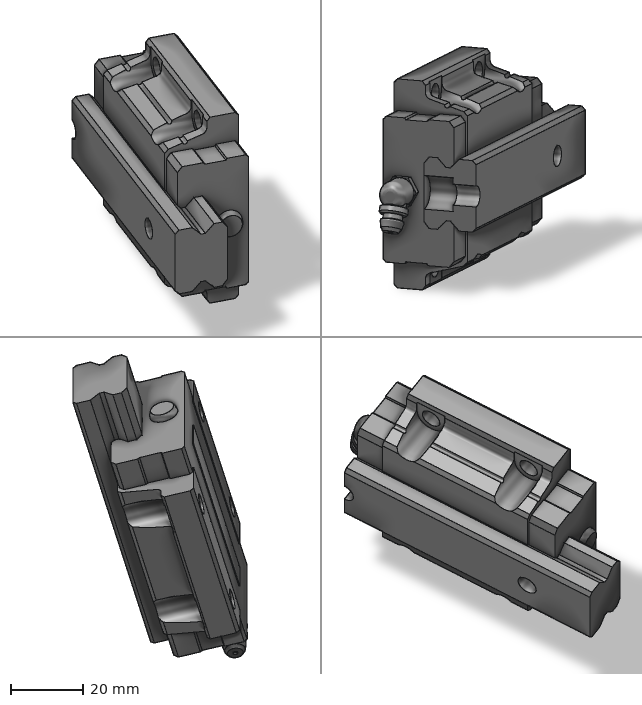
import cadquery as cq
import math


RAIL_LENGTH = 80.6
RAIL_HEIGHT = 15.5
RAIL_HALF_WIDTH = 10.1
RAIL_FOOT_CHAMFER = 1.1
RAIL_HEAD_CHAMFER_Y = 1.6
RAIL_HEAD_CHAMFER_Z = 1.9
WAIST_HALF_WIDTH = 7.5
WAIST_START_Y = 5.1
WAIST_FLOOR_START_Y = 7.6
WAIST_FLOOR_END_Y = 8.9
WAIST_END_Y = 11.5
RAIL_HOLE_PITCH = 60.0
RAIL_HOLE_DIA = 5.9
RAIL_COUNTERBORE_DIA = 9.5
RAIL_COUNTERBORE_FLOOR_Y = 6.9

CAP_LENGTH = 8.55
BLOCK_LENGTH = 47.7
BLOCK_TOP_Y = 28.0
BLOCK_BOTTOM_Y = 6.1
BLOCK_BOTTOM_HALF_WIDTH = 20.7
SKIRT_CHAMFER = 1.1
FLANGE_HALF_WIDTH = 29.5
FLANGE_UNDERSIDE_Y = 18.6
FLANGE_TOP_CHAMFER = 1.0
FLANGE_LOWER_CHAMFER_Y = 0.9
FLANGE_LOWER_CHAMFER_Z = 1.2
FLANGE_ROOT_HALF_WIDTH = 24.9
FLANGE_ROOT_FILLET = 1.9
TOP_RECESS_INNER_Z = 5.0
TOP_RECESS_OUTER_Z = 17.5
TOP_RECESS_DEPTH = 0.3
SIDE_GROOVE_DIA = 1.4
SIDE_GROOVE_Y = 12.1
SIDE_GROOVE_Z = 23.2

MOUNT_PITCH_X = 32.0
MOUNT_PITCH_Z = 48.9
MOUNT_HOLE_DIA = 5.7
MOUNT_POCKET_DIA = 9.1
MOUNT_POCKET_FLOOR_Y = 18.85

CAP_BOTTOM_Y = 6.6
CAP_TOP_Y = BLOCK_TOP_Y - TOP_RECESS_DEPTH
CAP_HALF_WIDTH = 20.6
CAP_TOP_CHAMFER = 0.8
CAP_LOWER_CHAMFER_Y = 1.4
CAP_LOWER_CHAMFER_Z = 1.7
CAP_GROOVE_TOP_Y = 21.2
CAP_GROOVE_FLOOR_TOP_Y = 21.0
CAP_GROOVE_FLOOR_BOTTOM_Y = 14.8
CAP_GROOVE_BOTTOM_Y = 14.25
CAP_GROOVE_DEPTH = 0.55

PORT_Y = 21.8
HEX_ACROSS_FLATS = 8.1
HEX_THICKNESS = 1.8
ELBOW_DIA = 8.0
ELBOW_LENGTH = 9.4
ELBOW_ROUNDING = 2.5
NIPPLE_AXIS_X = -5.0
NIPPLE_TILT = 22.5
STEM_DIA = 6.6
COLLAR_DIA = 8.0
COLLAR_FOOT_DIA = 7.0
NECK_DIA = 5.5
HEAD_SHOULDER_DIA = 5.8
HEAD_DIA = 6.6
HEAD_TAPER_DIA = 5.8
TIP_DIA = 4.4
COLLAR_START = 3.7
COLLAR_RIM_START = 4.0
COLLAR_RIM_END = 5.4
COLLAR_END = 6.0
HEAD_START = 7.4
HEAD_RIM_START = 7.6
HEAD_TAPER_START = 8.1
HEAD_TAPER_END = 9.8
NIPPLE_LENGTH = 10.85
GREASE_HOLE_DIA = 1.4
GREASE_HOLE_DEPTH = 0.55
PLUG_DIA = 8.0
PLUG_LENGTH = 1.9
PLUG_ROUNDING = 3.0

BLOCK_START_X = CAP_LENGTH
BLOCK_END_X = BLOCK_START_X + BLOCK_LENGTH
CARRIAGE_LENGTH = BLOCK_END_X + CAP_LENGTH
BLOCK_MID_X = CARRIAGE_LENGTH / 2


def symmetric_bar(half_outline, start_x, length):
    """Extrude along X a (Y, Z) outline given for Z > 0 and mirrored below."""
    mirrored = [(y, -z) for y, z in reversed(half_outline)]
    section = cq.Workplane("YZ", origin=(start_x, 0, 0)).polyline(half_outline + mirrored)
    return section.close().extrude(length)


def cylinder_y(x, z, diameter, start_y, end_y):
    """Cylinder parallel to Y."""
    axis = cq.Vector(0, 1, 0)
    return cq.Solid.makeCylinder(diameter / 2, end_y - start_y, cq.Vector(x, start_y, z), axis)


def make_rail_bar():
    """Rail profile without its bolt holes."""
    half_outline = [
        (0, RAIL_HALF_WIDTH - RAIL_FOOT_CHAMFER),
        (RAIL_FOOT_CHAMFER, RAIL_HALF_WIDTH),
        (WAIST_START_Y, RAIL_HALF_WIDTH),
        (WAIST_FLOOR_START_Y, WAIST_HALF_WIDTH),
        (WAIST_FLOOR_END_Y, WAIST_HALF_WIDTH),
        (WAIST_END_Y, RAIL_HALF_WIDTH),
        (RAIL_HEIGHT - RAIL_HEAD_CHAMFER_Y, RAIL_HALF_WIDTH),
        (RAIL_HEIGHT, RAIL_HALF_WIDTH - RAIL_HEAD_CHAMFER_Z),
    ]
    return symmetric_bar(half_outline, 0, RAIL_LENGTH)


def make_rail():
    """Rail with counterbored holes; the first is cut in half by the rail end."""
    rail = make_rail_bar()
    for x in (0, RAIL_HOLE_PITCH):
        rail = rail.cut(cylinder_y(x, 0, RAIL_HOLE_DIA, 0, RAIL_HEIGHT))
        rail = rail.cut(cylinder_y(x, 0, RAIL_COUNTERBORE_DIA, RAIL_COUNTERBORE_FLOOR_Y, RAIL_HEIGHT))
    return rail


def make_block_blank():
    """Flanged block: wide flange on top of a skirt that narrows downwards."""
    half_outline = [
        (BLOCK_BOTTOM_Y, BLOCK_BOTTOM_HALF_WIDTH),
        (BLOCK_BOTTOM_Y + SKIRT_CHAMFER, BLOCK_BOTTOM_HALF_WIDTH + SKIRT_CHAMFER),
        (FLANGE_UNDERSIDE_Y, FLANGE_ROOT_HALF_WIDTH),
        (FLANGE_UNDERSIDE_Y, FLANGE_HALF_WIDTH - FLANGE_LOWER_CHAMFER_Z),
        (FLANGE_UNDERSIDE_Y + FLANGE_LOWER_CHAMFER_Y, FLANGE_HALF_WIDTH),
        (BLOCK_TOP_Y - FLANGE_TOP_CHAMFER, FLANGE_HALF_WIDTH),
        (BLOCK_TOP_Y, FLANGE_HALF_WIDTH - FLANGE_TOP_CHAMFER),
    ]
    block = symmetric_bar(half_outline, BLOCK_START_X, BLOCK_LENGTH)
    for side in (1, -1):
        root = (BLOCK_MID_X, FLANGE_UNDERSIDE_Y, side * FLANGE_ROOT_HALF_WIDTH)
        root_edge = cq.selectors.NearestToPointSelector(root)
        block = block.edges("|X").edges(root_edge).fillet(FLANGE_ROOT_FILLET)
    return block


def cut_top_recesses(block):
    """Two shallow lengthwise recesses in the mounting face."""
    width = TOP_RECESS_OUTER_Z - TOP_RECESS_INNER_Z
    middle = (TOP_RECESS_OUTER_Z + TOP_RECESS_INNER_Z) / 2
    for side in (1, -1):
        recess = cq.Workplane(origin=(BLOCK_MID_X, BLOCK_TOP_Y, side * middle)).box(
            BLOCK_LENGTH, 2 * TOP_RECESS_DEPTH, width
        )
        block = block.cut(recess)
    return block


def cut_side_groove(block):
    """Round reference groove along one sloping side."""
    groove = cq.Workplane("YZ", origin=(BLOCK_START_X, SIDE_GROOVE_Y, SIDE_GROOVE_Z))
    return block.cut(groove.circle(SIDE_GROOVE_DIA / 2).extrude(BLOCK_LENGTH))


def cut_mounting_holes(block):
    """Through holes with bolt-head pockets that open towards the flange edge."""
    slot_length = FLANGE_HALF_WIDTH - MOUNT_PITCH_Z / 2
    for x in (BLOCK_MID_X - MOUNT_PITCH_X / 2, BLOCK_MID_X + MOUNT_PITCH_X / 2):
        for side in (1, -1):
            z = side * MOUNT_PITCH_Z / 2
            slot_middle = (x, MOUNT_POCKET_FLOOR_Y / 2, z + side * slot_length / 2)
            slot = cq.Workplane(origin=slot_middle)
            slot = slot.box(MOUNT_POCKET_DIA, MOUNT_POCKET_FLOOR_Y, slot_length)
            block = block.cut(cylinder_y(x, z, MOUNT_HOLE_DIA, 0, BLOCK_TOP_Y))
            block = block.cut(cylinder_y(x, z, MOUNT_POCKET_DIA, 0, MOUNT_POCKET_FLOOR_Y))
            block = block.cut(slot)
    return block


def make_block():
    block = make_block_blank()
    block = cut_top_recesses(block)
    block = cut_side_groove(block)
    return cut_mounting_holes(block)


def make_end_cap(start_x):
    """Chamfered cap with a shallow groove along both sides."""
    groove_half_width = CAP_HALF_WIDTH - CAP_GROOVE_DEPTH
    half_outline = [
        (CAP_BOTTOM_Y, CAP_HALF_WIDTH - CAP_LOWER_CHAMFER_Z),
        (CAP_BOTTOM_Y + CAP_LOWER_CHAMFER_Y, CAP_HALF_WIDTH),
        (CAP_GROOVE_BOTTOM_Y, CAP_HALF_WIDTH),
        (CAP_GROOVE_FLOOR_BOTTOM_Y, groove_half_width),
        (CAP_GROOVE_FLOOR_TOP_Y, groove_half_width),
        (CAP_GROOVE_TOP_Y, CAP_HALF_WIDTH),
        (CAP_TOP_Y - CAP_TOP_CHAMFER, CAP_HALF_WIDTH),
        (CAP_TOP_Y, CAP_HALF_WIDTH - CAP_TOP_CHAMFER),
    ]
    return symmetric_bar(half_outline, start_x, CAP_LENGTH)


def make_elbow():
    """Hexagon and round-ended barrel standing out from the near cap."""
    port = cq.Workplane("YZ", origin=(0, PORT_Y, 0))
    hex_corner_dia = HEX_ACROSS_FLATS / math.cos(math.radians(30))
    hexagon = port.polygon(6, hex_corner_dia).extrude(-HEX_THICKNESS)
    barrel = port.circle(ELBOW_DIA / 2).extrude(-ELBOW_LENGTH)
    barrel = barrel.faces("<X").edges().fillet(ELBOW_ROUNDING)
    return hexagon.union(barrel)


def make_nipple():
    """Turned nipple, revolved about the local Y axis, which slants down and outwards."""
    tilt = math.radians(NIPPLE_TILT)
    plane = cq.Plane(
        origin=(NIPPLE_AXIS_X, PORT_Y, 0),
        xDir=(-math.cos(tilt), 0, math.sin(tilt)),
        normal=(0, -1, 0),
    )
    outline = [
        (0, 0),
        (STEM_DIA / 2, 0),
        (STEM_DIA / 2, COLLAR_START),
        (COLLAR_DIA / 2, COLLAR_RIM_START),
        (COLLAR_DIA / 2, COLLAR_RIM_END),
        (COLLAR_FOOT_DIA / 2, COLLAR_END),
        (NECK_DIA / 2, COLLAR_END),
        (NECK_DIA / 2, HEAD_START),
        (HEAD_SHOULDER_DIA / 2, HEAD_START),
        (HEAD_DIA / 2, HEAD_RIM_START),
        (HEAD_DIA / 2, HEAD_TAPER_START),
        (HEAD_TAPER_DIA / 2, HEAD_TAPER_END),
        (TIP_DIA / 2, NIPPLE_LENGTH),
        (GREASE_HOLE_DIA / 2, NIPPLE_LENGTH),
        (GREASE_HOLE_DIA / 2, NIPPLE_LENGTH - GREASE_HOLE_DEPTH),
        (0, NIPPLE_LENGTH - GREASE_HOLE_DEPTH),
    ]
    return cq.Workplane(plane).polyline(outline).close().revolve(360, (0, 0), (0, 1))


def make_plug():
    """Plug on the far cap, its side curving inwards to a flat end."""
    radius = PLUG_DIA / 2

    def radius_at(distance):
        return radius - PLUG_ROUNDING + math.sqrt(PLUG_ROUNDING**2 - distance**2)

    half_length = PLUG_LENGTH / 2
    half_section = (
        cq.Workplane("XY", origin=(CARRIAGE_LENGTH, PORT_Y, 0))
        .lineTo(0, radius)
        .threePointArc((half_length, radius_at(half_length)), (PLUG_LENGTH, radius_at(PLUG_LENGTH)))
        .lineTo(PLUG_LENGTH, 0)
        .close()
    )
    return half_section.revolve(360, (0, 0), (1, 0))


def make_carriage():
    """Block, caps and fittings, with a channel that fits the rail."""
    carriage = make_block()
    for start_x in (0, BLOCK_END_X):
        carriage = carriage.union(make_end_cap(start_x))
    for fitting in (make_elbow(), make_nipple(), make_plug()):
        carriage = carriage.union(fitting)
    return carriage.cut(make_rail_bar())


rail = make_rail()
carriage = make_carriage()
result = cq.Compound.makeCompound([rail.val(), *carriage.vals()])